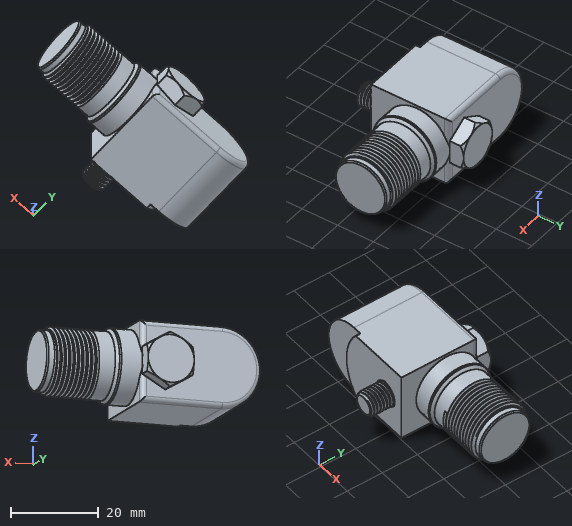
import cadquery as cq
import math


OVERALL_LENGTH = 51.3

HOUSING_HEIGHT = 19.05
HOUSING_LENGTH = 29.25
HOUSING_DEPTH = 21.85
BACK_Y = 8.9
FRONT_Y = BACK_Y - HOUSING_DEPTH
NOSE_RADIUS = HOUSING_HEIGHT / 2
BACK_FILLET = 1.25
MOUNTING_PAD_RADIUS = 14.85
NOSE_STEP_DEPTH = 1.3

COLLAR_DIAMETER = 17.5
COLLAR_END_X = 33.85

FLANGE_DIAMETER = 17.4
FLANGE_LENGTH = 1.25
CONNECTOR_MAJOR_DIAMETER = 15.9
CONNECTOR_MINOR_DIAMETER = 14.7
CONNECTOR_PITCH = 8.45 / 8
THREAD_START_X = 38.85
CONNECTOR_THREAD_ANGLE = -110.0
PILOT_DIAMETER = 14.25
PILOT_LENGTH = 1.8
PILOT_CHAMFER_LENGTH = 0.4
PILOT_CHAMFER_DEPTH = 0.25
CONNECTOR_LENGTH = OVERALL_LENGTH - COLLAR_END_X

BOLT_X = 23.35
BOLT_HOLE_DIAMETER = 6.75
BOLT_MAJOR_DIAMETER = 6.35
BOLT_MINOR_DIAMETER = 5.35
BOLT_TIP_DIAMETER = 5.0
BOLT_PROTRUSION = 6.35
BOLT_PITCH = BOLT_PROTRUSION / 7
BOLT_THREAD_ANGLE = 0.0
BOLT_SHANK_LENGTH = HOUSING_DEPTH + BOLT_PROTRUSION
HEAD_HEIGHT = 3.9
HEAD_ACROSS_FLATS = 11.15
HEX_HALF_CORNER_ANGLE = math.pi / 6
HEAD_ACROSS_CORNERS = HEAD_ACROSS_FLATS / math.cos(HEX_HALF_CORNER_ANGLE)

THREAD_HALF_ANGLE = 30
CREST_SHARE = 1 / 8
GROOVE_OVERRUN = 0.05


def disc(diameter, start, length):
    """Cylinder along local Z, from the given height."""
    return cq.Workplane("XY").workplane(offset=start).circle(diameter / 2).extrude(length)


def thread_groove(major_diameter, minor_diameter, pitch, start, length, start_angle):
    """Right-hand helical V groove around local Z, to be cut from a cylinder."""
    flank_slope = math.tan(math.radians(THREAD_HALF_ANGLE))
    half_mouth = pitch * (1 - CREST_SHARE) / 2
    half_root = half_mouth - (major_diameter - minor_diameter) / 2 * flank_slope
    half_outer = half_mouth + GROOVE_OVERRUN * flank_slope
    root_radius = minor_diameter / 2
    outer_radius = major_diameter / 2 + GROOVE_OVERRUN

    section = [
        (root_radius, -half_root),
        (outer_radius, -half_outer),
        (outer_radius, half_outer),
        (root_radius, half_root),
    ]
    helices = [cq.Wire.makeHelix(pitch, length, radius, center=(0, 0, start + z)) for radius, z in section]
    next_helices = helices[1:] + helices[:1]
    faces = [cq.Face.makeRuledSurface(one, other) for one, other in zip(helices, next_helices)]

    end_turn = 2 * math.pi * length / pitch
    for turn, height in ((0, start), (end_turn, start + length)):
        corners = [cq.Vector(r * math.cos(turn), r * math.sin(turn), height + z) for r, z in section]
        faces.append(cq.Face.makeFromWires(cq.Wire.makePolygon(corners, close=True)))
    groove = cq.Workplane(cq.Solid.makeSolid(cq.Shell.makeShell(faces)))
    return groove.rotate((0, 0, 0), (0, 0, 1), start_angle)


def make_housing():
    """Block with a round nose, a stepped mounting pad, a bolt clearance hole and a round collar."""
    body = (
        cq.Workplane("XZ", origin=(0, BACK_Y, 0))
        .moveTo(HOUSING_LENGTH, -NOSE_RADIUS)
        .lineTo(NOSE_RADIUS, -NOSE_RADIUS)
        .threePointArc((0, 0), (NOSE_RADIUS, NOSE_RADIUS))
        .lineTo(HOUSING_LENGTH, NOSE_RADIUS)
        .close()
        .extrude(HOUSING_DEPTH)
    )
    body = body.faces(">Y").edges().fillet(BACK_FILLET)

    nose_step = (
        cq.Workplane("XZ", origin=(0, FRONT_Y + NOSE_STEP_DEPTH, 0))
        .rect(2 * BOLT_X, 2 * HOUSING_HEIGHT)
        .extrude(NOSE_STEP_DEPTH)
    )
    mounting_pad = (
        cq.Workplane("XZ", origin=(BOLT_X, FRONT_Y + NOSE_STEP_DEPTH, 0))
        .circle(MOUNTING_PAD_RADIUS)
        .extrude(NOSE_STEP_DEPTH)
    )
    body = body.cut(nose_step.cut(mounting_pad))

    bolt_hole = (
        cq.Workplane("XZ", origin=(BOLT_X, BACK_Y, 0))
        .circle(BOLT_HOLE_DIAMETER / 2)
        .extrude(HOUSING_DEPTH)
    )
    body = body.cut(bolt_hole)

    collar_start_x = HOUSING_LENGTH - BACK_FILLET
    collar = (
        cq.Workplane("YZ", origin=(collar_start_x, 0, 0))
        .circle(COLLAR_DIAMETER / 2)
        .extrude(COLLAR_END_X - collar_start_x)
    )
    return body.union(collar)


def make_connector():
    """Chamfered flange, threaded barrel and plain pilot, built along local Z."""
    barrel_length = CONNECTOR_LENGTH - PILOT_LENGTH
    flange_chamfer = (FLANGE_DIAMETER - CONNECTOR_MAJOR_DIAMETER) / 2
    thread_chamfer = (CONNECTOR_MAJOR_DIAMETER - PILOT_DIAMETER) / 2
    flange = disc(FLANGE_DIAMETER, 0, FLANGE_LENGTH).faces(">Z").chamfer(flange_chamfer)
    barrel = disc(CONNECTOR_MAJOR_DIAMETER, 0, barrel_length).faces(">Z").chamfer(thread_chamfer)
    thread_start = THREAD_START_X - COLLAR_END_X
    groove = thread_groove(
        CONNECTOR_MAJOR_DIAMETER,
        CONNECTOR_MINOR_DIAMETER,
        CONNECTOR_PITCH,
        thread_start,
        barrel_length + CONNECTOR_PITCH - thread_start,
        CONNECTOR_THREAD_ANGLE,
    )
    pilot = disc(PILOT_DIAMETER, 0, CONNECTOR_LENGTH)
    pilot = pilot.faces(">Z").chamfer(PILOT_CHAMFER_LENGTH, PILOT_CHAMFER_DEPTH)
    connector = barrel.cut(groove).union(flange).union(pilot)
    return connector.rotate((0, 0, 0), (0, 1, 0), 90).translate((COLLAR_END_X, 0, 0))


def make_bolt():
    """Hex bolt with its head at the back, built along local Z with the head seat at Z = 0."""
    tip_chamfer = (BOLT_MAJOR_DIAMETER - BOLT_TIP_DIAMETER) / 2
    shank = disc(BOLT_MAJOR_DIAMETER, 0, BOLT_SHANK_LENGTH).faces(">Z").chamfer(tip_chamfer)
    thread_start = HOUSING_DEPTH - BOLT_PITCH
    groove = thread_groove(
        BOLT_MAJOR_DIAMETER,
        BOLT_MINOR_DIAMETER,
        BOLT_PITCH,
        thread_start,
        BOLT_SHANK_LENGTH + BOLT_PITCH - thread_start,
        BOLT_THREAD_ANGLE,
    )

    head = cq.Workplane("XY").polygon(6, HEAD_ACROSS_CORNERS).extrude(-HEAD_HEIGHT)
    corner_trim = (HEAD_ACROSS_CORNERS - HEAD_ACROSS_FLATS) / 2
    head_round = disc(HEAD_ACROSS_CORNERS, -HEAD_HEIGHT, HEAD_HEIGHT).faces("<Z").chamfer(corner_trim)
    head = head.intersect(head_round)

    bolt = shank.cut(groove).union(head).rotate((0, 0, 0), (0, 0, 1), 90)
    return bolt.rotate((0, 0, 0), (1, 0, 0), 90).translate((BOLT_X, BACK_Y, 0))


housing = make_housing()
connector = make_connector()
bolt = make_bolt()

result = cq.Compound.makeCompound([
    *housing.solids().vals(),
    *connector.solids().vals(),
    *bolt.solids().vals(),
])